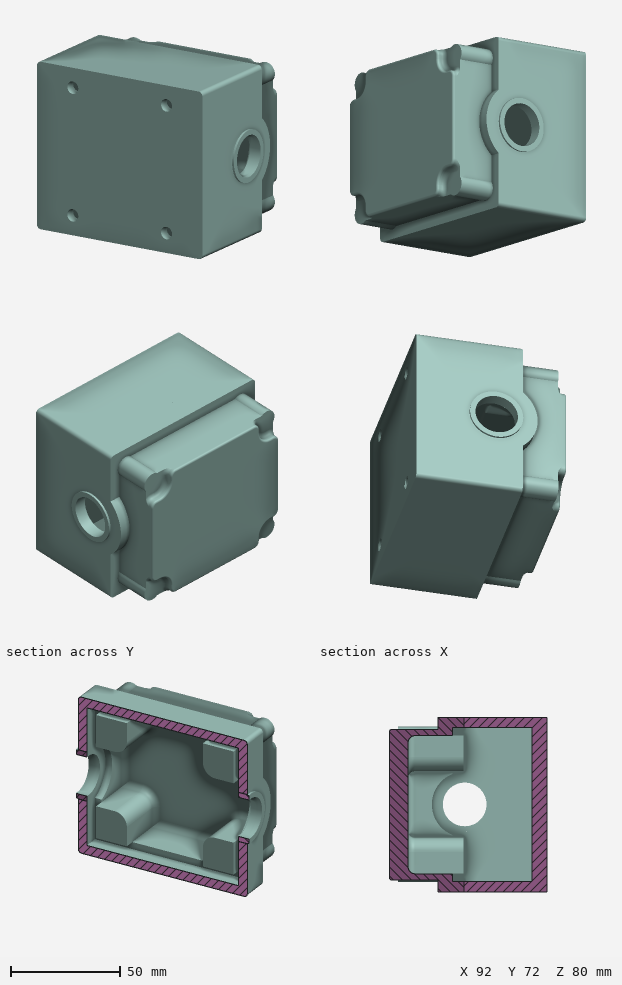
import cadquery as cq
import math


LENGTH = 90.0
HEIGHT = 80.0
CORNER_RADIUS = 2.0
PARTING_Y = 43.1
RIM_BACK_Y = 50.05
WALL = 5.0
FRONT_WALL = 7.0
TONGUE_DEPTH = 5.0
TONGUE_TIP_WIDTH = 12.0
TONGUE_ROOT_WIDTH = TONGUE_TIP_WIDTH + 2 * TONGUE_DEPTH

MOUNT_HOLE_DEPTH = 5.0
MOUNT_HOLE_DIAMETER = 6.0
MOUNT_PITCH_X = 51.0
MOUNT_PITCH_Z = 61.0

BACK_LENGTH = 79.0
BACK_HEIGHT = 69.0
BACK_Y = 72.0
BACK_EDGE_RADIUS = 1.0
COLUMN_RADIUS = 5.0
COLUMN_OVERHANG = 1.0
COLUMN_X = BACK_LENGTH / 2 + COLUMN_OVERHANG - COLUMN_RADIUS
COLUMN_Z = BACK_HEIGHT / 2 + COLUMN_OVERHANG - COLUMN_RADIUS

NOTCH_DEPTH = 4.05
NOTCH_FLOOR_Y = BACK_Y - NOTCH_DEPTH
NOTCH_REACH = 12.0
NOTCH_INNER_RADIUS = 7.0
NOTCH_BLEND_RADIUS = 3.0
NOTCH_FLOOR_RADIUS = 2.0
CUT_MARGIN = 4.6

COVER_WALL = 3.0
CAVITY_LENGTH = BACK_LENGTH - 2 * COVER_WALL
CAVITY_HEIGHT = BACK_HEIGHT - 2 * COVER_WALL
CAVITY_END_Y = 63.4
BLOCK_REACH = 19.3
BLOCK_RADIUS = 6.4
BLOCK_FOOT_RADIUS = 3.0
BLOCK_OVERHANG = 5.0
BLOCK_START_Y = PARTING_Y - BLOCK_OVERHANG

ENTRY_DIAMETER = 25.0
ENTRY_BORE = 20.0
ENTRY_Y = RIM_BACK_Y - ENTRY_DIAMETER / 2
ENTRY_OVERHANG = 1.0
ENTRY_RECESS_DIAMETER = 30.0
BUMP_RADIUS = 19.5

CORNERS = [(sx, sz) for sx in (-1, 1) for sz in (-1, 1)]


def plane_at(y):
    """Workplane at depth y; extruding by a negative length goes toward +Y."""
    return cq.Workplane("XZ", origin=(0, y, 0))


def block(length, height, y_start, y_end):
    """Box centred on the Y axis."""
    return plane_at(y_start).rect(length, height).extrude(y_start - y_end)


def rod_along_x(diameter, x_start, x_end):
    """Cylinder on the axis of the cable entries."""
    plane = cq.Workplane("YZ", origin=(x_start, ENTRY_Y, 0))
    return plane.circle(diameter / 2).extrude(x_end - x_start)


def entry_holes():
    """Hole through both end walls for the bushings."""
    return rod_along_x(ENTRY_DIAMETER, -LENGTH / 2, LENGTH / 2)


def tongues():
    """Trapezoids in front of the parting plane, one in the top wall and one in the bottom wall."""
    tip_y = PARTING_Y - TONGUE_DEPTH
    outline = [
        (-TONGUE_ROOT_WIDTH / 2, PARTING_Y),
        (-TONGUE_TIP_WIDTH / 2, tip_y),
        (TONGUE_TIP_WIDTH / 2, tip_y),
        (TONGUE_ROOT_WIDTH / 2, PARTING_Y),
    ]
    prism = cq.Workplane("XY", origin=(0, 0, -HEIGHT / 2)).polyline(outline).close().extrude(HEIGHT)
    return prism.cut(block(LENGTH, HEIGHT - 2 * WALL, 0, PARTING_Y))


def make_housing():
    """Open box with tongue gaps in its rim."""
    body = block(LENGTH, HEIGHT, 0, PARTING_Y).edges("|Y").fillet(CORNER_RADIUS)
    body = body.cut(block(LENGTH - 2 * WALL, HEIGHT - 2 * WALL, FRONT_WALL, PARTING_Y))
    mount_holes = (
        plane_at(0)
        .rect(MOUNT_PITCH_X, MOUNT_PITCH_Z, forConstruction=True)
        .vertices()
        .circle(MOUNT_HOLE_DIAMETER / 2)
        .extrude(-MOUNT_HOLE_DEPTH)
    )
    return body.cut(mount_holes).cut(tongues()).cut(entry_holes())


def corner_notch(sx, sz):
    """Cutter for one corner: a rounded inner corner blended into the two outer faces."""

    def point(from_end, from_side):
        return (sx * (BACK_LENGTH / 2 - from_end), sz * (BACK_HEIGHT / 2 - from_side))

    reach = NOTCH_REACH
    blend = NOTCH_BLEND_RADIUS
    inner = NOTCH_INNER_RADIUS
    arc_gap = 1 - math.sqrt(0.5)
    blend_mid = blend * arc_gap
    inner_mid = reach - inner * arc_gap
    cutter = (
        plane_at(NOTCH_FLOOR_Y)
        .moveTo(*point(-CUT_MARGIN, -CUT_MARGIN))
        .lineTo(*point(reach + blend, -CUT_MARGIN))
        .lineTo(*point(reach + blend, 0))
        .threePointArc(point(reach + blend_mid, blend_mid), point(reach, blend))
        .lineTo(*point(reach, reach - inner))
        .threePointArc(point(inner_mid, inner_mid), point(reach - inner, reach))
        .lineTo(*point(blend, reach))
        .threePointArc(point(blend_mid, reach + blend_mid), point(0, reach + blend))
        .lineTo(*point(-CUT_MARGIN, reach + blend))
        .close()
        .extrude(-NOTCH_DEPTH)
    )
    return cutter.faces("<Y").edges().fillet(NOTCH_FLOOR_RADIUS)


def cavity_envelope():
    """Hollow of the cover before its corners are narrowed, reaching to the front of the blocks."""
    return block(CAVITY_LENGTH, CAVITY_HEIGHT, BLOCK_START_Y, CAVITY_END_Y)


def cover_cavity():
    """Hollow of the cover, narrowed by a rounded block in each corner."""
    cavity = cavity_envelope()
    for sx, sz in CORNERS:
        corner_block = (
            plane_at(BLOCK_START_Y)
            .center(sx * BACK_LENGTH / 2, sz * BACK_HEIGHT / 2)
            .rect(2 * BLOCK_REACH, 2 * BLOCK_REACH)
            .extrude(BLOCK_START_Y - CAVITY_END_Y)
            .edges("|Y")
            .fillet(BLOCK_RADIUS)
        )
        cavity = cavity.cut(corner_block)
    return cavity.faces(">Y").edges().fillet(BLOCK_FOOT_RADIUS)


def make_raised_back():
    """Outer form of the raised back, with its corners notched and its back edge rounded."""
    body = block(BACK_LENGTH, BACK_HEIGHT, PARTING_Y, BACK_Y).edges("|Y").fillet(COLUMN_RADIUS)
    for sx, sz in CORNERS:
        body = body.cut(corner_notch(sx, sz))
    return body.faces(">Y").edges().fillet(BACK_EDGE_RADIUS)


def make_columns():
    """Round columns up to the notch floors, bulging out of the corners of the raised back."""
    return (
        plane_at(PARTING_Y)
        .rect(2 * COLUMN_X, 2 * COLUMN_Z, forConstruction=True)
        .vertices()
        .circle(COLUMN_RADIUS)
        .extrude(PARTING_Y - NOTCH_FLOOR_Y)
    )


def make_cover():
    """Rim, raised back and end bumps in one piece, hollowed from the front."""
    rim = block(LENGTH, HEIGHT, PARTING_Y, RIM_BACK_Y).edges("|Y").fillet(CORNER_RADIUS)
    bump = rod_along_x(2 * BUMP_RADIUS, -LENGTH / 2, LENGTH / 2)
    bump = bump.intersect(block(LENGTH, HEIGHT, PARTING_Y, BACK_Y))
    body = make_raised_back().union(rim).union(bump).union(make_columns())

    body = body.union(cavity_envelope()).cut(cover_cavity())

    recess_end = LENGTH / 2 - WALL
    recess = rod_along_x(ENTRY_RECESS_DIAMETER, -recess_end, recess_end)
    return body.union(tongues()).cut(recess).cut(entry_holes())


def make_bushing(side):
    """Ring in one end wall, standing slightly proud of it."""
    inner_x = side * (LENGTH / 2 - WALL)
    outer_x = side * (LENGTH / 2 + ENTRY_OVERHANG)
    return rod_along_x(ENTRY_DIAMETER, inner_x, outer_x).cut(rod_along_x(ENTRY_BORE, inner_x, outer_x))


housing = make_housing()
cover = make_cover()
bushings = [make_bushing(side).val() for side in (-1, 1)]

result = cq.Compound.makeCompound([housing.val(), cover.val(), *bushings])